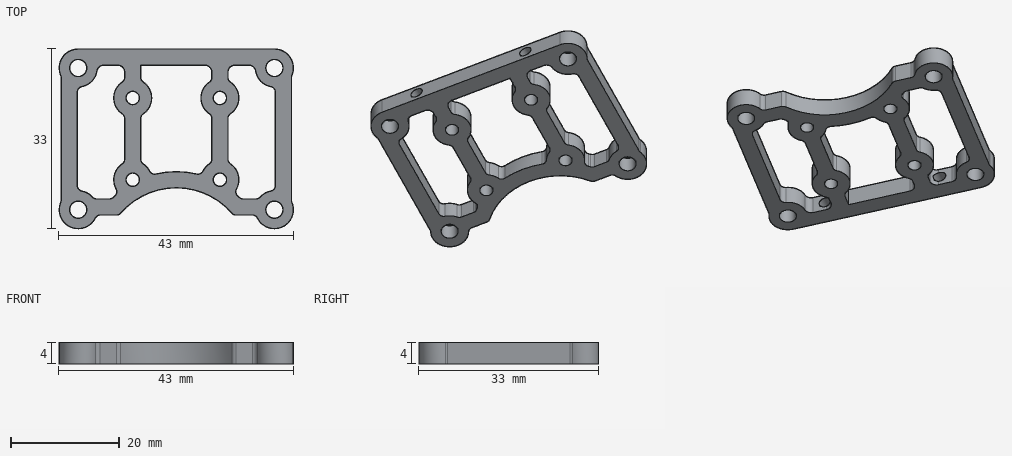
import cadquery as cq

thickness = 4.0
bar_width = 3.0

corner_spacing_x = 36.0
corner_spacing_y = 26.0
corner_hole_diameter = 3.1
post_spacing_x = 16.0
post_spacing_y = 15.0
post_hole_diameter = 2.4
pad_radius = 3.5

corner_x = corner_spacing_x / 2
corner_y = corner_spacing_y / 2
post_x = post_spacing_x / 2
frame_half_width = 21.15
window_half_width = frame_half_width - bar_width
frame_top = corner_y + pad_radius
window_top = frame_top - bar_width
frame_bottom = -14.0
window_bottom = frame_bottom + bar_width

relief_radius = 13.5
relief_top = -9.0
relief_center = (0, relief_top - relief_radius)

edge_fillet = 1.0
window_top_fillet = 1.25
selection_margin = 0.1

cross_hole_diameter = 2.3
cross_hole_x = 11.0


def block(x_min, x_max, y_min, y_max):
    """Full-thickness block, centred on Z = 0."""
    center = ((x_min + x_max) / 2, (y_min + y_max) / 2, 0)
    return cq.Workplane("XY").box(x_max - x_min, y_max - y_min, thickness).translate(center)


def discs(points, diameter):
    """Full-thickness discs at the given points, centred on Z = 0."""
    return cq.Workplane("XY").pushPoints(points).circle(diameter / 2).extrude(thickness / 2, both=True)


def rectangle_corners(spacing_x, spacing_y):
    """The four corners of a rectangle centred on the origin."""
    return [(sx * spacing_x / 2, sy * spacing_y / 2) for sx in (-1, 1) for sy in (-1, 1)]


def bars():
    """Top and bottom bars, joined by two side bars and two posts."""
    body = block(-corner_x, corner_x, window_top, frame_top)
    body = body.union(block(-corner_x, corner_x, frame_bottom, window_bottom))
    side_bar = block(window_half_width, frame_half_width, -corner_y, corner_y)
    post = block(post_x - bar_width / 2, post_x + bar_width / 2, window_bottom, window_top)
    for upright in (side_bar, post):
        body = body.union(upright).union(upright.mirror("YZ"))
    return body


def arched_band():
    """Band of bar width that follows the round relief above the bottom bar."""
    disc = discs([relief_center], 2 * (relief_radius + bar_width))
    return disc.intersect(block(-corner_x, corner_x, frame_bottom, window_top))


def vertical_edges(x_min, x_max, y):
    """Selector for the vertical edges that lie at the given y, between two x limits."""
    return cq.selectors.BoxSelector(
        (x_min - selection_margin, y - selection_margin, -thickness),
        (x_max + selection_margin, y + selection_margin, thickness),
    )


def round_vertical_edges(body):
    """Fillet every vertical edge but the tangent ones at the top and one sharp window corner."""
    vertical = cq.selectors.ParallelDirSelector(cq.Vector(0, 0, 1))
    tangent_edges = vertical_edges(-corner_x, corner_x, frame_top)
    sharp_corner = vertical_edges(-post_x, 0, window_top)
    window_top_edges = vertical_edges(-corner_x, corner_x, window_top)
    body = body.edges(vertical - tangent_edges - window_top_edges).fillet(edge_fillet)
    return body.edges((vertical & window_top_edges) - sharp_corner).fillet(window_top_fillet)


def cross_holes():
    """Drill bodies along Y through the top bar and the window fillets behind it, one on each side."""
    return (
        cq.Workplane("XZ", origin=(0, frame_top, 0))
        .pushPoints([(-cross_hole_x, 0), (cross_hole_x, 0)])
        .circle(cross_hole_diameter / 2)
        .extrude(bar_width + window_top_fillet)
    )


corner_points = rectangle_corners(corner_spacing_x, corner_spacing_y)
post_points = rectangle_corners(post_spacing_x, post_spacing_y)

plate = bars().union(arched_band())
plate = plate.union(discs(corner_points + post_points, 2 * pad_radius))
plate = plate.cut(discs([relief_center], 2 * relief_radius)).clean()
plate = round_vertical_edges(plate)
plate = plate.cut(discs(corner_points, corner_hole_diameter))
plate = plate.cut(discs(post_points, post_hole_diameter))
result = plate.cut(cross_holes())